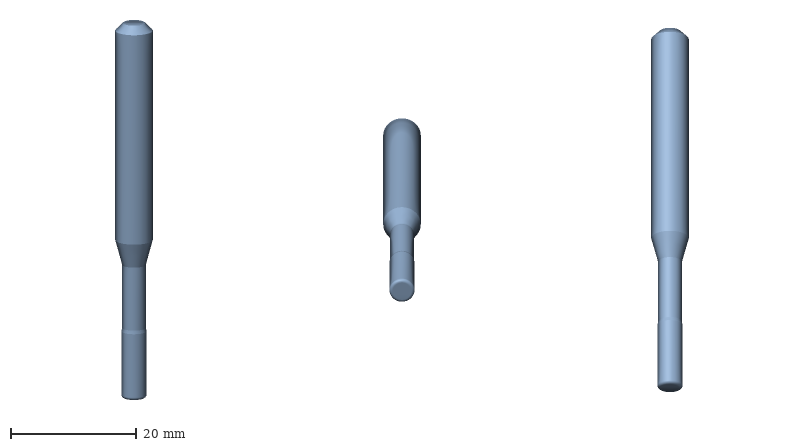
import cadquery as cq
import math

overall_length = 62.0
cutting_length = 11.0
neck_end_z = 22.0

cutter_radius = 2.0
corner_radius = 0.5

neck_radius = 1.9
relief_angle = 10.0
shank_radius = 3.0
shoulder_angle = 15.0
end_chamfer = 1.25


def cone_length(radius_change, angle_from_axis):
    """Axial length of a cone whose radius changes by the given amount."""
    return radius_change / math.tan(math.radians(angle_from_axis))


def make_cutter():
    """Cylindrical cutting head with a rounded corner at the tip."""
    return (
        cq.Workplane("XY")
        .circle(cutter_radius)
        .extrude(cutting_length)
        .faces("<Z")
        .edges()
        .fillet(corner_radius)
    )


def make_shank():
    """Relieved neck, conical shoulder and chamfered shank, turned about Z."""
    neck_start_z = cutting_length + cone_length(cutter_radius - neck_radius, relief_angle)
    shoulder_end_z = neck_end_z + cone_length(shank_radius - neck_radius, shoulder_angle)
    outline = [
        (0, cutting_length),
        (cutter_radius, cutting_length),
        (neck_radius, neck_start_z),
        (neck_radius, neck_end_z),
        (shank_radius, shoulder_end_z),
        (shank_radius, overall_length - end_chamfer),
        (shank_radius - end_chamfer, overall_length),
        (0, overall_length),
    ]
    return cq.Workplane("XZ").polyline(outline).close().revolve(360, (0, 0), (0, 1))


cutter = make_cutter()
shank = make_shank()

result = cq.Compound.makeCompound([cutter.val(), shank.val()])